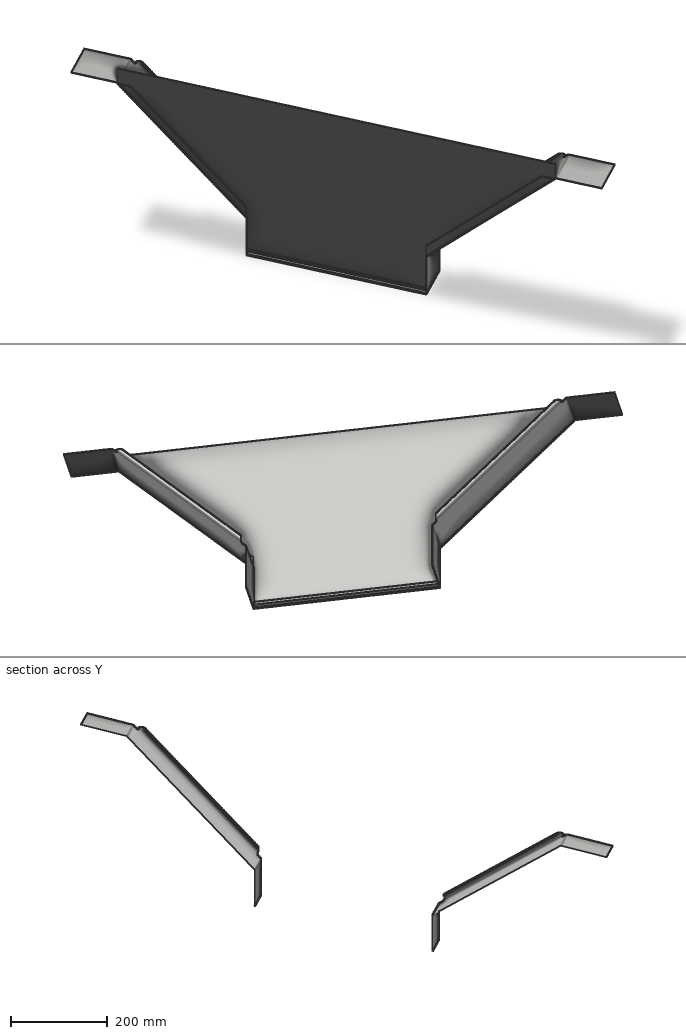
import cadquery as cq
import math

OVERALL_WIDTH = 1162.0
OVERALL_DEPTH = 98.0
OVERALL_HEIGHT = 423.0
SHEET = 1.7

WIDE_HALF_WIDTH = 480.0
NARROW_HALF_WIDTH = 198.0
TAB_DROP = 40.0
WALL_TOP_Y = 37.0
WALL_BEND_RADIUS = 3.0

LIP_WIDTH = 21.0
LIP_BEND_RADIUS = 2.0

HOOK_RADIUS = 6.0
HOOK_LEG = 3.0
HOOK_DROP = 49.0
HOOK_HALF_WIDTH = 206.0

FLOOR_WIDE_HALF_WIDTH = WIDE_HALF_WIDTH
FLOOR_NARROW_HALF_WIDTH = NARROW_HALF_WIDTH - SHEET
BEAD_DEPTH = 5.0
BEAD_START = 17.0
BEAD_APEX = 7.0
BEAD_END = 3.0

TOP_Z = OVERALL_HEIGHT / 2
BOTTOM_Z = -TOP_Z
LIP_FRONT_Y = -OVERALL_DEPTH / 2
FLOOR_FRONT_Y = LIP_FRONT_Y + SHEET
FLOOR_BACK_Y = FLOOR_FRONT_Y + SHEET
HOOK_TOP_Y = OVERALL_DEPTH / 2
TAB_Z = TOP_Z - TAB_DROP
CORNER_Z = TAB_Z - (WIDE_HALF_WIDTH - NARROW_HALF_WIDTH)
SLOPE_LENGTH = math.hypot(WIDE_HALF_WIDTH - NARROW_HALF_WIDTH, TAB_Z - CORNER_Z)
MITRE = SHEET * math.tan(math.radians(22.5))


def xz_prism(points, y_start, y_end):
    """Extrude an outline of (x, z) points from y_start to y_end."""
    plane = cq.Plane(origin=(0, y_start, 0), xDir=(1, 0, 0), normal=(0, -1, 0))
    return cq.Workplane(plane).polyline(points).close().extrude(y_start - y_end)


def make_strip():
    """Tab, sloping wall and straight wall of the left rail as one bent strip."""
    outline = [
        (-OVERALL_WIDTH / 2, TAB_Z),
        (-WIDE_HALF_WIDTH, TAB_Z),
        (-NARROW_HALF_WIDTH, CORNER_Z),
        (-NARROW_HALF_WIDTH, BOTTOM_Z),
        (-NARROW_HALF_WIDTH + SHEET, BOTTOM_Z),
        (-NARROW_HALF_WIDTH + SHEET, CORNER_Z + MITRE),
        (-WIDE_HALF_WIDTH + MITRE, TAB_Z + SHEET),
        (-OVERALL_WIDTH / 2, TAB_Z + SHEET),
    ]
    strip = xz_prism(outline, FLOOR_BACK_Y, WALL_TOP_Y)

    middle_y = (FLOOR_BACK_Y + WALL_TOP_Y) / 2
    bends = [
        (-WIDE_HALF_WIDTH, TAB_Z, WALL_BEND_RADIUS - SHEET),
        (-WIDE_HALF_WIDTH + MITRE, TAB_Z + SHEET, WALL_BEND_RADIUS),
        (-NARROW_HALF_WIDTH, CORNER_Z, WALL_BEND_RADIUS - SHEET),
        (-NARROW_HALF_WIDTH + SHEET, CORNER_Z + MITRE, WALL_BEND_RADIUS),
    ]
    for x, z, radius in bends:
        nearest = cq.selectors.NearestToPointSelector((x, middle_y, z))
        strip = strip.edges(nearest).fillet(radius)
    return strip


def slope_section():
    """Workplane across the sloping wall: x runs inward from its outer face, y along Y."""
    plane = cq.Plane(
        origin=(-NARROW_HALF_WIDTH, 0, CORNER_Z), xDir=(1, 0, 1), normal=(-1, 0, 1)
    )
    return cq.Workplane(plane).workplane(offset=-SLOPE_LENGTH / 2)


def trim_ends(body, top_z, half_width):
    """Cut the lower end of a sloping profile upright and its upper end level."""
    corner = (
        cq.Workplane("XY")
        .box(OVERALL_WIDTH, OVERALL_DEPTH * 2, OVERALL_HEIGHT * 2)
        .translate((-half_width - OVERALL_WIDTH / 2, 0, top_z - OVERALL_HEIGHT))
    )
    return body.intersect(corner)


def make_lip():
    """L-shaped fold that runs from the sloping wall round to the front of the floor."""
    inner_radius = LIP_BEND_RADIUS - SHEET
    diagonal = math.sqrt(0.5)
    bend_y = LIP_FRONT_Y + LIP_BEND_RADIUS
    outer_middle = (LIP_BEND_RADIUS * (1 - diagonal), bend_y - LIP_BEND_RADIUS * diagonal)
    inner_middle = (LIP_BEND_RADIUS - inner_radius * diagonal, bend_y - inner_radius * diagonal)
    profile = (
        slope_section()
        .moveTo(0, FLOOR_BACK_Y)
        .lineTo(0, bend_y)
        .threePointArc(outer_middle, (LIP_BEND_RADIUS, LIP_FRONT_Y))
        .lineTo(LIP_WIDTH, LIP_FRONT_Y)
        .lineTo(LIP_WIDTH, FLOOR_FRONT_Y)
        .lineTo(LIP_BEND_RADIUS, FLOOR_FRONT_Y)
        .threePointArc(inner_middle, (SHEET, bend_y))
        .lineTo(SHEET, FLOOR_BACK_Y)
        .close()
    )
    return trim_ends(profile.extrude(SLOPE_LENGTH * 2), TAB_Z, NARROW_HALF_WIDTH)


def make_hook():
    """Half-round hook that continues the sloping wall and curls inward."""
    bend_y = HOOK_TOP_Y - HOOK_RADIUS
    width = HOOK_RADIUS * 2
    profile = (
        slope_section()
        .moveTo(0, WALL_TOP_Y)
        .lineTo(0, bend_y)
        .threePointArc((HOOK_RADIUS, HOOK_TOP_Y), (width, bend_y))
        .lineTo(width, bend_y - HOOK_LEG)
        .lineTo(width - SHEET, bend_y - HOOK_LEG)
        .lineTo(width - SHEET, bend_y)
        .threePointArc((HOOK_RADIUS, HOOK_TOP_Y - SHEET), (SHEET, bend_y))
        .lineTo(SHEET, WALL_TOP_Y)
        .close()
    )
    return trim_ends(profile.extrude(SLOPE_LENGTH * 2), TOP_Z - HOOK_DROP, HOOK_HALF_WIDTH)


def make_left_rail():
    return make_strip().union(make_lip()).union(make_hook())


def make_floor():
    """Plate between the rails, lying on the back of both lips."""
    front = [
        (FLOOR_FRONT_Y, TOP_Z),
        (FLOOR_FRONT_Y, BOTTOM_Z + BEAD_START),
        (FLOOR_FRONT_Y + BEAD_DEPTH, BOTTOM_Z + BEAD_APEX),
        (FLOOR_FRONT_Y, BOTTOM_Z + BEAD_END),
        (FLOOR_FRONT_Y, BOTTOM_Z),
    ]
    back = [(y + SHEET, z) for y, z in reversed(front)]
    sheet = cq.Workplane("YZ").polyline(front + back).close().extrude(OVERALL_WIDTH / 2, both=True)

    setback = LIP_BEND_RADIUS * math.sqrt(2)
    slope_end_z = CORNER_Z + setback - (NARROW_HALF_WIDTH - FLOOR_NARROW_HALF_WIDTH)
    right_edge = [
        (FLOOR_WIDE_HALF_WIDTH, TOP_Z),
        (FLOOR_WIDE_HALF_WIDTH, TAB_Z),
        (WIDE_HALF_WIDTH - setback, TAB_Z),
        (FLOOR_NARROW_HALF_WIDTH, slope_end_z),
        (FLOOR_NARROW_HALF_WIDTH, BOTTOM_Z),
    ]
    left_edge = [(-x, z) for x, z in reversed(right_edge)]
    return sheet.intersect(xz_prism(right_edge + left_edge, LIP_FRONT_Y, HOOK_TOP_Y))


floor = make_floor()
left_rail = make_left_rail()
right_rail = left_rail.mirror("YZ")

bodies = [floor, left_rail, right_rail]
result = cq.Compound.makeCompound([body.solids().val() for body in bodies])